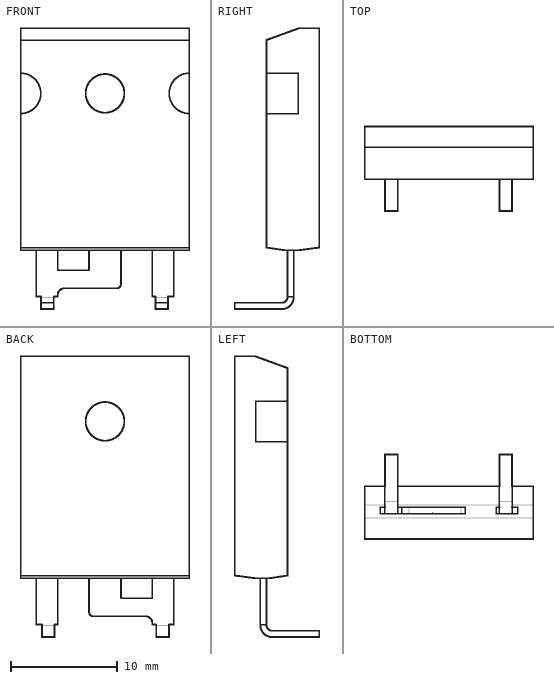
import cadquery as cq

body_width = 15.9
body_depth = 5.0
top_z = 26.45
body_bottom_z = 5.53
top_flat_depth = 1.95
top_bevel_drop = 1.1
bottom_ridge_back = 2.0
bottom_ridge_front = 3.23
bottom_draft_rise = 0.26

hole_z = 20.31
hole_diameter = 3.62
notch_radius = 1.9
notch_floor_depth = 2.0

overall_depth = 8.0
lead_back = 2.4
lead_thickness = 0.6
bend_inner_radius = 0.53
bend_outer_radius = bend_inner_radius + lead_thickness
lead_pitch = 5.462
lead_width = 2.04
shoulder_z = 1.2
embed_depth = 0.8
lead_top_z = body_bottom_z + embed_depth
tip_width = 1.22
tip_centers = (-5.42, 5.35)

middle_lead_width = 3.02
bridge_bottom_z = 1.95
bridge_top_z = 3.68
bridge_inner_fillet = 0.63
bridge_corner_fillet = 0.4


def make_body():
    """Side profile extruded over the width, then pierced and notched."""
    draft_z = body_bottom_z + bottom_draft_rise
    profile = [
        (0, draft_z),
        (-bottom_ridge_back, body_bottom_z),
        (-bottom_ridge_front, body_bottom_z),
        (-body_depth, draft_z),
        (-body_depth, top_z - top_bevel_drop),
        (-top_flat_depth, top_z),
        (0, top_z),
    ]
    body = cq.Workplane("YZ").polyline(profile).close().extrude(body_width / 2, both=True)

    hole = cq.Workplane("XZ").center(0, hole_z).circle(hole_diameter / 2).extrude(body_depth)
    notches = (
        cq.Workplane("XZ", origin=(0, -notch_floor_depth, hole_z))
        .pushPoints([(-body_width / 2, 0), (body_width / 2, 0)])
        .circle(notch_radius)
        .extrude(body_depth - notch_floor_depth)
    )
    return body.cut(hole).cut(notches)


def lead_plate(left, right, bottom, top):
    """Flat upright plate in the lead plane."""
    return (
        cq.Workplane("XY")
        .box(right - left, lead_thickness, top - bottom, centered=False)
        .translate((left, -lead_back - lead_thickness, bottom))
    )


def make_wide_lead(center):
    return lead_plate(center - lead_width / 2, center + lead_width / 2, shoulder_z, lead_top_z)


def make_bridged_lead():
    """Left lead, bridge and shortened middle lead in one flat outline."""
    left = -lead_pitch - lead_width / 2
    inner = left + lead_width
    middle = middle_lead_width / 2
    outline = (
        cq.Workplane("XZ", origin=(0, -lead_back, 0))
        .moveTo(left, shoulder_z)
        .lineTo(inner, shoulder_z)
        .lineTo(inner, bridge_bottom_z - bridge_inner_fillet)
        .radiusArc((inner + bridge_inner_fillet, bridge_bottom_z), bridge_inner_fillet)
        .lineTo(middle - bridge_corner_fillet, bridge_bottom_z)
        .radiusArc((middle, bridge_bottom_z + bridge_corner_fillet), -bridge_corner_fillet)
        .lineTo(middle, lead_top_z)
        .lineTo(-middle, lead_top_z)
        .lineTo(-middle, bridge_top_z)
        .lineTo(inner, bridge_top_z)
        .lineTo(inner, lead_top_z)
        .lineTo(left, lead_top_z)
        .close()
    )
    return outline.extrude(lead_thickness)


def make_tip(center):
    """Narrow lead end bent forward through a right angle."""
    front_y = -lead_back - lead_thickness
    bend_y = front_y - bend_inner_radius
    return (
        cq.Workplane("YZ", origin=(center, 0, 0))
        .moveTo(-lead_back, shoulder_z)
        .lineTo(-lead_back, bend_outer_radius)
        .radiusArc((bend_y, 0), bend_outer_radius)
        .lineTo(-overall_depth, 0)
        .lineTo(-overall_depth, lead_thickness)
        .lineTo(bend_y, lead_thickness)
        .radiusArc((front_y, bend_outer_radius), -bend_inner_radius)
        .lineTo(front_y, shoulder_z)
        .close()
        .extrude(tip_width / 2, both=True)
    )


result = make_body().union(make_bridged_lead()).union(make_wide_lead(lead_pitch))
for tip_center in tip_centers:
    result = result.union(make_tip(tip_center))